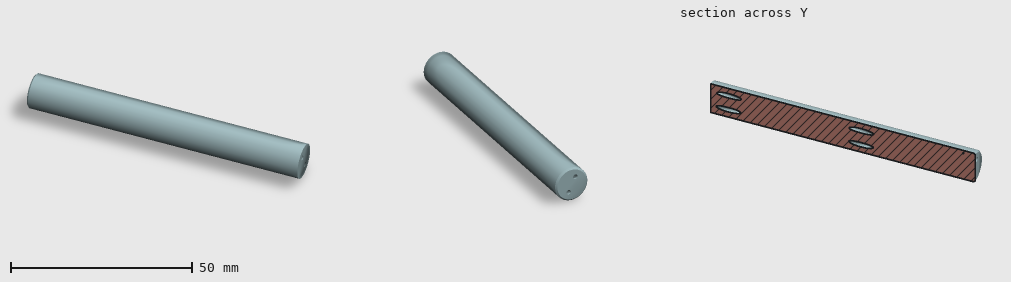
import cadquery as cq

rod_length = 80.0
rod_diameter = 10.0
edge_chamfer = 0.5

channel_diameter = 1.4
channel_circle_radius = 2.4
channel_start_angle = 115.0
channel_count = 2
channel_twist = 360.0


def make_rod():
    """Plain cylinder with a chamfer around its -X end only."""
    rod = cq.Workplane("YZ").circle(rod_diameter / 2).extrude(rod_length / 2, both=True)
    return rod.faces("<X").edges().chamfer(edge_chamfer)


def make_channels():
    """Helical channels, evenly spaced around the axis and running from end to end."""
    return (
        cq.Workplane("YZ", origin=(-rod_length / 2, 0, 0))
        .polarArray(channel_circle_radius, channel_start_angle, 360, channel_count)
        .circle(channel_diameter / 2)
        .twistExtrude(rod_length, channel_twist)
    )


result = make_rod().cut(make_channels())